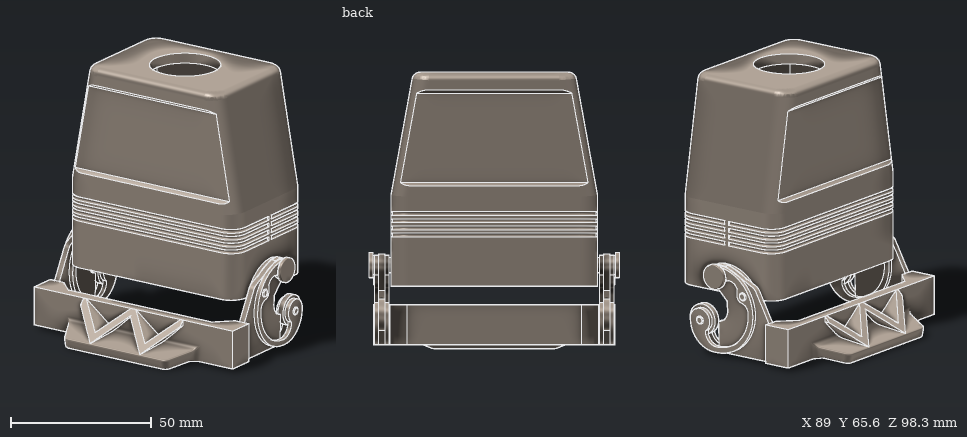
import cadquery as cq
import math

HOOD_LENGTH = 73.5
HOOD_DEPTH = 43.2
HOOD_HEIGHT = 76.1
STRAIGHT_HEIGHT = 32.3
TOP_LENGTH = 57.5
CORNER_RADIUS = 6.2
TOP_EDGE_RADIUS = 3.05
CABLE_HOLE_DIAMETER = 25.4
WALL = 3.05
CAVITY_LENGTH = 49.8
ROOF = 3.7

PANEL_DEPTH = 1.2
PANEL_BOTTOM = 35.7
PANEL_TOP = 69.7

GROOVE_COUNT = 4
GROOVE_PITCH = 2.6
GROOVE_RADIUS = 0.7
LOWEST_GROOVE_Z = 18.2
GROOVE_RIB_WIDTH = 1.7

PIN_Z = 7.6
PIN_RADIUS = 2.8
PIN_ROOT = 2.0
PIN_HEAD_RADIUS = 4.5
OVERALL_LENGTH = 89.0
PIN_HEAD_X = OVERALL_LENGTH / 2
PIN_HEAD_THICKNESS = 1.5
PIN_HEAD_EDGE = 0.4
PIN_NECK_RADIUS = 3.4

ARM_X = 39.9
PLATE_THICKNESS = 2.2
HOOK_THICKNESS = 5.2
PLATE_EYE_RADIUS = 3.9
CHEEK_EYE_RADIUS = 3.5
HOOK_OUTER_RADIUS = 15.9
HOOK_INNER_RADIUS = 13.9
HOOK_CENTRE_Y = -0.3
HOOK_CENTRE_Z = PIN_Z + CHEEK_EYE_RADIUS - HOOK_OUTER_RADIUS
BALL_Y, BALL_Z = 7.4, -10.0
BALL_RADIUS = 4.3
ROLLER_RADIUS = 5.6
RIVET_BOSS_Y, RIVET_BOSS_Z = -11.7, 2.0
RIVET_BOSS_RADIUS = 2.6
RIVET_RADIUS = 1.5
RIVET_HEIGHT = 0.4
RIVET_EDGE = 0.34
PLATE_CORNER_RADIUS = 3.9

THROAT_UPPER = (4.8, -13.6)
THROAT_LOWER = (4.8, -14.9)
THROAT_BEND = (3.3, -17.3)
BOSS_BLEND = [(-14.0, -3.05), (-12.8, -1.3), (-10.7, -0.4)]
EYE_BLEND = [(-9.1, 4.3), (-7.5, 6.3), (-4.8, 6.6)]
NOTCH_TOP = (-3.5, -1.5)
NOTCH_ARC = [(-3.5, -3.3), (-2.6, -8.2), (0.3, -9.6)]
PLATE_SHOULDER = (-15.8, 5.2)
PLATE_CREST = (-2.8, 11.3)

BAR_LENGTH = 85.8
BAR_BOTTOM = HOOK_CENTRE_Z - HOOK_OUTER_RADIUS
BAR_HEIGHT = 14.3
BAR_TOP = BAR_BOTTOM + BAR_HEIGHT
BAR_FRONT_Y = -32.3
BAR_BACK_Y = -22.2
BAR_DEPTH = BAR_BACK_Y - BAR_FRONT_Y
BAR_WEB_DEPTH = 4.1
BAR_END_LENGTH = 5.9
BAR_SLOPE_LENGTH = 6.0

FLAP_TILT = 11.3
FLAP_THICKNESS = 3.9
FLAP_DROP_START = 3.1
FLAP_REACH = 11.3
FLAP_ROOT_HALF = 27.4
FLAP_TIP_HALF = 21.9
FLAP_CORNER_RADIUS = 3.0
FLAP_EDGE_RADIUS = 0.7
FLAP_ROOT_RADIUS = 2.3
FLAP_ROOT_ZONE = 4.5
SELECTION_MARGIN = 0.1

VEE_HALF_WIDTH = 10.7
VEE_GROOVE_HALF_WIDTH = 9.6
VEE_GROOVE_ROOT_DEPTH = 7.5
VEE_GROOVE_GROWTH = 1.2
VEE_HEIGHT = 11.8
VEE_SHOULDER = 2.1
VEE_PROJECTION = 11.5


def make_hood_block():
    """Solid hood: upright lower part, end walls leaning inward above, rounded corners and top edge."""
    outline = [
        (-HOOD_LENGTH / 2, 0), (HOOD_LENGTH / 2, 0), (HOOD_LENGTH / 2, STRAIGHT_HEIGHT),
        (TOP_LENGTH / 2, HOOD_HEIGHT), (-TOP_LENGTH / 2, HOOD_HEIGHT),
        (-HOOD_LENGTH / 2, STRAIGHT_HEIGHT),
    ]
    block = cq.Workplane("XZ").polyline(outline).close().extrude(HOOD_DEPTH / 2, both=True)
    corners = block.edges("#Y").edges("not(|X)")
    return corners.fillet(CORNER_RADIUS).faces(">Z").edges().fillet(TOP_EDGE_RADIUS)


def panel_cutter(side):
    floor_y = side * (HOOD_DEPTH / 2 - PANEL_DEPTH)
    wall_y = side * HOOD_DEPTH / 2
    profile = [
        (wall_y, PANEL_BOTTOM), (floor_y, PANEL_BOTTOM + PANEL_DEPTH),
        (floor_y, PANEL_TOP - PANEL_DEPTH), (wall_y, PANEL_TOP),
    ]
    return cq.Workplane("YZ").polyline(profile).close().extrude(HOOD_LENGTH / 2, both=True)


def groove_cutter(centre_z):
    """Half-round groove around the hood, left out at the rib in the middle of each end wall."""
    base = cq.Workplane("XY", origin=(0, 0, centre_z))
    path = (
        base.rect(HOOD_LENGTH, HOOD_DEPTH).extrude(GROOVE_RADIUS)
        .edges("|Z").fillet(CORNER_RADIUS)
        .faces("<Z").wires()
    )
    ring = (
        cq.Workplane("YZ", origin=(0, -HOOD_DEPTH / 2, centre_z))
        .circle(GROOVE_RADIUS).sweep(path)
    )
    rib = base.box(2 * HOOD_LENGTH, GROOVE_RIB_WIDTH, 4 * GROOVE_RADIUS)
    return ring.cut(rib)


def make_hood():
    hood = make_hood_block()
    cavity = (
        cq.Workplane("XY")
        .rect(CAVITY_LENGTH, HOOD_DEPTH - 2 * WALL).extrude(HOOD_HEIGHT - ROOF)
    )
    hood = hood.cut(cavity)
    cable_hole = cq.Workplane("XY").circle(CABLE_HOLE_DIAMETER / 2).extrude(HOOD_HEIGHT)
    hood = hood.cut(cable_hole)
    for side in (-1, 1):
        hood = hood.cut(panel_cutter(side))
    for i in range(GROOVE_COUNT):
        hood = hood.cut(groove_cutter(LOWEST_GROOVE_Z + i * GROOVE_PITCH))
    return hood


def arm_plane(x=ARM_X):
    """Sketch plane parallel to the arms: local x is Y, local y is Z."""
    return cq.Workplane("YZ", origin=(x, 0, 0))


def arm_disc(y, z, radius, thickness):
    return arm_plane().center(y, z).circle(radius).extrude(thickness / 2, both=True)


def make_hook():
    """Two equal cheeks with an open slot between them, and a roller in the slot at the tip."""
    low_z = HOOK_CENTRE_Z - HOOK_OUTER_RADIUS
    tip_y = BALL_Y + BALL_RADIUS
    tip_arc_radius = BALL_Z - low_z
    tip_arc_y = tip_y - tip_arc_radius
    diagonal = math.sqrt(0.5)
    cheeks = (
        arm_plane()
        .moveTo(HOOK_CENTRE_Y, HOOK_CENTRE_Z + HOOK_OUTER_RADIUS)
        .threePointArc((HOOK_CENTRE_Y - HOOK_OUTER_RADIUS, HOOK_CENTRE_Z), (HOOK_CENTRE_Y, low_z))
        .lineTo(tip_arc_y, low_z)
        .threePointArc(
            (tip_arc_y + tip_arc_radius * diagonal, BALL_Z - tip_arc_radius * diagonal),
            (tip_y, BALL_Z),
        )
        .lineTo(BALL_Y, BALL_Z)
        .lineTo(*THROAT_UPPER)
        .lineTo(*THROAT_LOWER)
        .threePointArc(THROAT_BEND, (HOOK_CENTRE_Y, HOOK_CENTRE_Z - HOOK_INNER_RADIUS))
        .threePointArc(
            (HOOK_CENTRE_Y - HOOK_INNER_RADIUS * diagonal, HOOK_CENTRE_Z - HOOK_INNER_RADIUS * diagonal),
            (HOOK_CENTRE_Y - HOOK_INNER_RADIUS, HOOK_CENTRE_Z),
        )
        .lineTo(*BOSS_BLEND[0])
        .threePointArc(*BOSS_BLEND[1:])
        .lineTo(RIVET_BOSS_Y, RIVET_BOSS_Z)
        .lineTo(RIVET_BOSS_Y + RIVET_BOSS_RADIUS, RIVET_BOSS_Z)
        .lineTo(*EYE_BLEND[0])
        .threePointArc(*EYE_BLEND[1:])
        .lineTo(0, PIN_Z)
        .close()
        .extrude(HOOK_THICKNESS / 2, both=True)
    )
    cheeks = cheeks.union(arm_disc(0, PIN_Z, CHEEK_EYE_RADIUS, HOOK_THICKNESS))
    cheeks = cheeks.union(arm_disc(RIVET_BOSS_Y, RIVET_BOSS_Z, RIVET_BOSS_RADIUS, HOOK_THICKNESS))
    cheeks = cheeks.union(arm_disc(BALL_Y, BALL_Z, BALL_RADIUS, HOOK_THICKNESS))
    slot = arm_disc(HOOK_CENTRE_Y, HOOK_CENTRE_Z, 2 * HOOK_OUTER_RADIUS, PLATE_THICKNESS)
    roller = arm_disc(BALL_Y, BALL_Z, ROLLER_RADIUS, PLATE_THICKNESS)
    return cheeks.cut(slot).union(roller)


def make_plate():
    eye_offset = PLATE_EYE_RADIUS * math.sqrt(0.5)
    plate = (
        arm_plane()
        .moveTo(eye_offset, PIN_Z - eye_offset)
        .lineTo(*NOTCH_TOP)
        .lineTo(*NOTCH_ARC[0])
        .threePointArc(*NOTCH_ARC[1:])
        .lineTo(0, HOOK_CENTRE_Z - HOOK_INNER_RADIUS)
        .lineTo(0, BAR_BOTTOM)
        .lineTo(BAR_BACK_Y, BAR_BOTTOM)
        .lineTo(BAR_BACK_Y, BAR_TOP)
        .lineTo(*PLATE_SHOULDER)
        .lineTo(*PLATE_CREST)
        .lineTo(0, PIN_Z + PLATE_EYE_RADIUS)
        .close()
        .extrude(PLATE_THICKNESS / 2, both=True)
    )
    corner = cq.selectors.NearestToPointSelector((ARM_X, *PLATE_SHOULDER))
    plate = plate.edges("|X").edges(corner).fillet(PLATE_CORNER_RADIUS)
    return plate.union(arm_disc(0, PIN_Z, PLATE_EYE_RADIUS, PLATE_THICKNESS))


def make_pin():
    wall_x = HOOD_LENGTH / 2
    outer_x = ARM_X + HOOK_THICKNESS / 2
    head_x = PIN_HEAD_X - PIN_HEAD_THICKNESS
    shank = (
        arm_plane(wall_x - PIN_ROOT).center(0, PIN_Z)
        .circle(PIN_RADIUS).extrude(outer_x - wall_x + PIN_ROOT)
    )
    neck = arm_plane(outer_x).center(0, PIN_Z).circle(PIN_NECK_RADIUS).extrude(head_x - outer_x)
    head = (
        arm_plane(head_x).center(0, PIN_Z)
        .circle(PIN_HEAD_RADIUS).extrude(PIN_HEAD_THICKNESS)
        .faces(">X").edges().fillet(PIN_HEAD_EDGE)
    )
    return shank.union(neck).union(head)


def make_rivet(y, z):
    return (
        arm_plane(ARM_X + HOOK_THICKNESS / 2).center(y, z)
        .circle(RIVET_RADIUS).extrude(RIVET_HEIGHT)
        .faces(">X").edges().chamfer(RIVET_EDGE)
    )


def make_arm():
    arm = make_plate().union(make_hook()).union(make_pin())
    arm = arm.union(make_rivet(BALL_Y, BALL_Z))
    return arm.union(make_rivet(RIVET_BOSS_Y, RIVET_BOSS_Z))


def make_bar():
    end = BAR_LENGTH / 2
    step = end - BAR_END_LENGTH
    web = step - BAR_SLOPE_LENGTH
    web_y = BAR_FRONT_Y + BAR_WEB_DEPTH
    plan = [
        (-end, BAR_FRONT_Y), (end, BAR_FRONT_Y), (end, BAR_BACK_Y), (step, BAR_BACK_Y),
        (web, web_y), (-web, web_y), (-step, BAR_BACK_Y), (-end, BAR_BACK_Y),
    ]
    return cq.Workplane("XY", origin=(0, 0, BAR_BOTTOM)).polyline(plan).close().extrude(BAR_HEIGHT)


def make_flap():
    """Tilted thumb plate whose root flares smoothly into the front of the bar."""
    tilt = math.radians(FLAP_TILT)
    root_z = BAR_BOTTOM + FLAP_DROP_START * math.tan(tilt)
    plane = cq.Plane(
        origin=(0, BAR_FRONT_Y, root_z),
        xDir=(1, 0, 0),
        normal=(0, -math.sin(tilt), math.cos(tilt)),
    )
    root_y = FLAP_THICKNESS * math.tan(tilt)
    root_half = FLAP_ROOT_HALF + root_y * (FLAP_ROOT_HALF - FLAP_TIP_HALF) / FLAP_REACH
    plan = [
        (-root_half, root_y), (root_half, root_y),
        (FLAP_TIP_HALF, -FLAP_REACH), (-FLAP_TIP_HALF, -FLAP_REACH),
    ]
    flap = cq.Workplane(plane).polyline(plan).close().extrude(FLAP_THICKNESS)
    flap = flap.faces("<Y").edges("not(|X)").fillet(FLAP_CORNER_RADIUS)

    backing = (
        cq.Workplane("XY", origin=(0, BAR_FRONT_Y + BAR_DEPTH / 2, BAR_BOTTOM))
        .box(BAR_LENGTH, BAR_DEPTH, 2 * BAR_HEIGHT)
    )
    root = cq.selectors.BoxSelector(
        (-root_half - SELECTION_MARGIN, BAR_FRONT_Y - SELECTION_MARGIN, BAR_BOTTOM - FLAP_THICKNESS),
        (root_half + SELECTION_MARGIN, BAR_FRONT_Y + SELECTION_MARGIN, BAR_BOTTOM + 2 * FLAP_THICKNESS),
        boundingbox=True,
    )
    flap = flap.union(backing).edges(root).fillet(FLAP_ROOT_RADIUS)
    outer_part = cq.selectors.BoxSelector(
        (-FLAP_ROOT_HALF, BAR_FRONT_Y - 2 * FLAP_REACH, BAR_BOTTOM - BAR_HEIGHT),
        (FLAP_ROOT_HALF, BAR_FRONT_Y - FLAP_ROOT_ZONE, BAR_TOP),
    )
    broad_faces = cq.selectors.ParallelDirSelector(plane.zDir)
    flap = flap.faces(broad_faces).edges(outer_part).fillet(FLAP_EDGE_RADIUS)

    below_bar = (
        cq.Workplane("XY", origin=(0, BAR_FRONT_Y - FLAP_DROP_START, BAR_BOTTOM - BAR_HEIGHT))
        .box(BAR_LENGTH, BAR_DEPTH, BAR_HEIGHT, centered=(True, False, False))
    )
    return flap.cut(backing).cut(below_bar)


def vee_groove_section(centre, scale):
    half_width = VEE_GROOVE_HALF_WIDTH * scale
    return [
        (centre - half_width, BAR_TOP), (centre + half_width, BAR_TOP),
        (centre, BAR_TOP - VEE_GROOVE_ROOT_DEPTH * scale),
    ]


def make_vees():
    mid = VEE_HALF_WIDTH
    low_z = BAR_TOP - VEE_HEIGHT
    shoulder_z = BAR_TOP - VEE_SHOULDER
    outline = [
        (-2 * mid, BAR_TOP), (-2 * mid, shoulder_z), (-mid, low_z), (0, shoulder_z),
        (mid, low_z), (2 * mid, shoulder_z), (2 * mid, BAR_TOP),
    ]
    sketch = cq.Workplane("XZ", origin=(0, BAR_FRONT_Y, 0))
    vees = sketch.polyline(outline).close().extrude(VEE_PROJECTION)
    slope = [
        (BAR_FRONT_Y, BAR_TOP), (BAR_FRONT_Y - VEE_PROJECTION, low_z), (BAR_FRONT_Y, low_z),
    ]
    wedge = cq.Workplane("YZ").polyline(slope).close().extrude(2 * mid, both=True)
    vees = vees.intersect(wedge)
    for centre in (-mid, mid):
        groove = (
            sketch.polyline(vee_groove_section(centre, 1)).close()
            .workplane(offset=VEE_PROJECTION)
            .polyline(vee_groove_section(centre, VEE_GROOVE_GROWTH)).close()
            .loft(ruled=True)
        )
        vees = vees.cut(groove)
    return vees


hood = make_hood()
arm = make_arm()
lever = make_bar().union(make_flap()).union(make_vees())
result = hood.union(lever).union(arm).union(arm.mirror("YZ"))